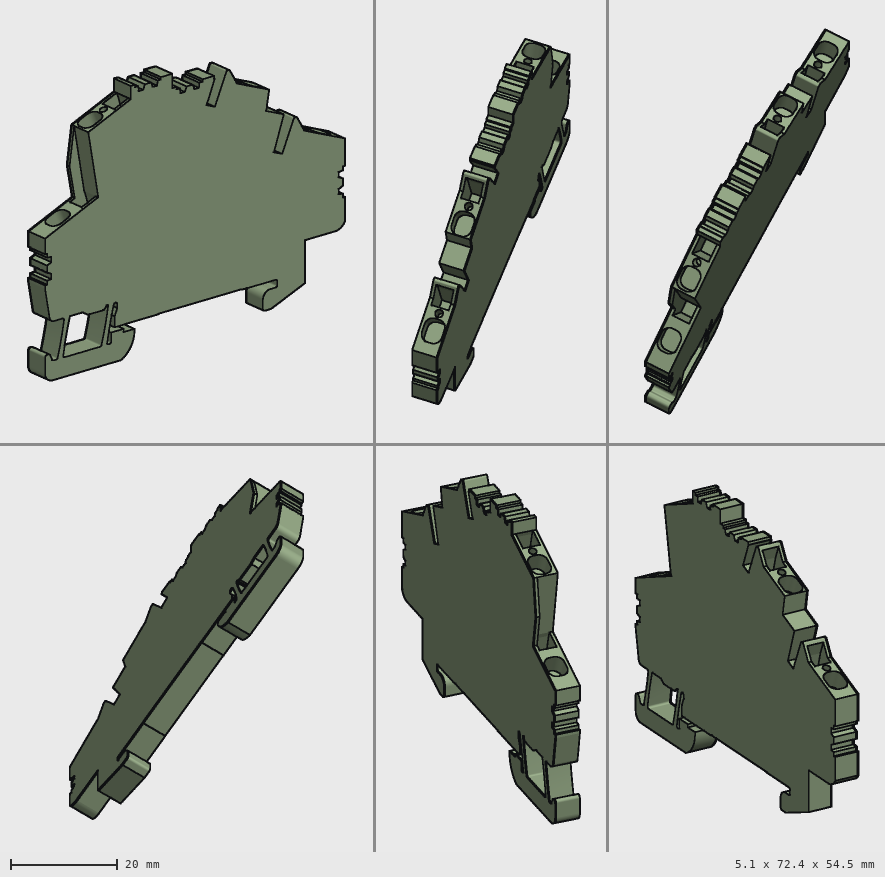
import cadquery as cq
import math


width = 72.35
height = 54.5
thickness = 5.1
cover_thickness = 0.25
half_width = width / 2
past_surface = 1.0

roof_angle = math.radians(22)
along_y = math.cos(roof_angle)
along_z = math.sin(roof_angle)
roof_slope = math.tan(roof_angle)

tab_base = (26.45, 35.2)
upper_tab_base = (10.22, 48.65)
tab_rise = 3.25
tab_reach = 1.9
tab_top = 0.7
tab_tip_radius = 0.33
slot_lean = math.radians(23.5)
slot_length = 7.15
slot_width = 2.15
upper_roof_end_y = 17.9
ledge_inner = (17.15, 41.45)
ledge_outer = (21.4, 39.75)

top_roof_start = (-15.5, 51.87)
top_roof_end_y = -25.75
bulge = (-26.85, 39.9)
lower_roof_start_y = -25.6
recess_foot = (-23.35, 34.1)

lower_land_z = 51.6
lower_land_end_y = -5.45
lower_land_start_y = 4.6
lower_land_corner_z = 51.0

shoulder_z = 13.2
shoulder_start_y = 33.9
shoulder_side_z = 14.65
shoulder_curve = (35.4, 13.75)
hook_y = 26.55
hook_corner_z = 4.6
hook_tip_y = 16.35
hook_bottom_z = 1.4
hook_bottom_start_y = 18.3
hook_top_z = 5.45
rail_slot_y = 19.8
rail_slot_radius = 0.4
hook_top_radius = 1.75
hook_bottom_radius = 0.5
base_z = 7.0
base_end_y = -19.4
base_relief = 0.1
base_relief_start_y = 11.2
base_relief_end_y = -8.8

underside_z = 11.85
bump_z = 11.1
bump_front_y = -21.3
bump_back_y = -27.0
bump_flat_y = (-22.0, -25.9)
spring_slot_side = (-18.75, 10.7)
spring_slot_foot_z = 9.2
chin_y = -34.93
chin_radius = 1.1
chin_top_z = 18.85

foot_front_y = -14.6
foot_lip_z = 5.5
foot_step_y = -17.2
foot_top_z = 6.15
foot_slot_y = -20.25
foot_floor_z = 3.95
foot_bottom_front_y = -17.9
foot_curve = (-16.05, 1.35)
foot_tip_z = 5.5
foot_tip_y = -35.05
foot_notch_y = -34.35
foot_heel_radius = 1.85
foot_tip_radius = 0.54

strut_tops_y = [-19.55, -30.15]
strut_width = 1.38
strut_lean = 1.7
strut_root = 0.2
strut_waist = 0.12
strut_corner_radius = 0.4
spring_slot_radius = 0.35

comb_span = 6.25
comb_ledge = 0.5
groove_depth = 1.5
groove_pitch = 3.05
groove_mouth = 1.6
groove_outer_inset = 0.1
groove_inner_inset = 0.45
groove_chamfer = 0.25
side_comb_z = 22.65
lower_comb_y = -1.3
upper_comb_y = -11.35

hole_x = 2.45
hole_width = 3.95
hole_length = 4.7
hole_corner_radius = 1.6
hole_depth = 4.0
test_hole_diameter = 1.5
test_hole_depth = 4.0
pocket_near_x = 0.9
pocket_far_x = 4.4
pocket_length = 3.7
pocket_depth = 9.0
tab_pocket_rise = 3.5
pocket_straight_depth = 1.0
pocket_taper = math.radians(7)
test_hole_offset = 1.1
wire_hole_offset = 4.55
tab_pocket_offset = 1.3


def extrude(points, start_x, end_x):
    plane = cq.Workplane("YZ").workplane(offset=start_x)
    return plane.polyline(points).close().extrude(end_x - start_x)


def on_roof(start, side, outward, rise=0.0):
    """Point at a distance down the roof from its start, raised square to the roof."""
    y = start[0] + side * (outward * along_y + rise * along_z)
    z = start[1] - outward * along_z + rise * along_y
    return (y, z)


def roof_at(start, side, y):
    return (y, start[1] - side * (y - start[0]) * roof_slope)


def tab_points(base):
    """Tab flank, tip and back, ending at the floor of the slot behind it."""
    tip_y = base[0] - tab_reach
    tip_z = base[1] + tab_rise
    back_y = tip_y - tab_top
    floor_y = back_y - slot_length * math.sin(slot_lean)
    floor_z = tip_z - slot_length * math.cos(slot_lean)
    return [base, (tip_y, tip_z), (back_y, tip_z), (floor_y, floor_z)]


def slot_far_floor(base):
    y, z = tab_points(base)[-1]
    return (y - slot_width * along_y, z + slot_width * along_z)


def slot_far_wall(base, z):
    """Point at height z on the slot wall away from the tab."""
    floor_y, floor_z = slot_far_floor(base)
    return (floor_y + (z - floor_z) * roof_slope, z)


def round_corners(solid, corners, radius):
    """Round the edges along X that pass through the given YZ corners."""
    reach = 0.01
    for y, z in corners:
        box = cq.selectors.BoxSelector(
            (-past_surface, y - reach, z - reach), (thickness + past_surface, y + reach, z + reach)
        )
        solid = solid.edges(box).fillet(radius)
    return solid


outer_roof_end = roof_at(tab_base, 1, half_width)
upper_roof_end = roof_at(upper_tab_base, 1, upper_roof_end_y)
top_roof_end = roof_at(top_roof_start, -1, top_roof_end_y)
lower_roof_start = roof_at(recess_foot, -1, lower_roof_start_y)
lower_roof_end = roof_at(recess_foot, -1, -half_width)


def body_slab(start_x, end_x):
    outline = (
        cq.Workplane("YZ").workplane(offset=start_x)
        .polyline([
            (half_width, shoulder_side_z),
            outer_roof_end,
            *tab_points(tab_base),
            slot_far_floor(tab_base),
            ledge_outer,
            ledge_inner,
            upper_roof_end,
            *tab_points(upper_tab_base),
            slot_far_floor(upper_tab_base),
            slot_far_wall(upper_tab_base, lower_land_corner_z),
            (lower_land_start_y, lower_land_corner_z),
            (lower_land_start_y, lower_land_z),
            (lower_land_end_y, lower_land_z),
            (lower_land_end_y, height),
            (top_roof_start[0], height),
            top_roof_start,
            top_roof_end,
            bulge,
            lower_roof_start,
            lower_roof_end,
            (-half_width, chin_top_z),
            (chin_y, underside_z),
            (bump_back_y, underside_z),
            (bump_flat_y[1], bump_z),
            (bump_flat_y[0], bump_z),
            (bump_front_y, underside_z),
            (spring_slot_side[0], underside_z),
            spring_slot_side,
            (base_end_y, spring_slot_foot_z),
            (base_end_y, base_z),
            (base_relief_end_y, base_z),
            (base_relief_end_y, base_z + base_relief),
            (base_relief_start_y, base_z + base_relief),
            (base_relief_start_y, base_z),
            (rail_slot_y, base_z),
            (rail_slot_y, hook_top_z),
            (hook_tip_y, hook_top_z),
            (hook_tip_y, hook_bottom_z),
            (hook_bottom_start_y, hook_bottom_z),
            (hook_y, hook_corner_z),
            (hook_y, shoulder_z),
            (shoulder_start_y, shoulder_z),
        ])
        .threePointArc(shoulder_curve, (half_width, shoulder_side_z))
        .close()
    )
    return outline.extrude(end_x - start_x)


def foot_slab(start_x, end_x):
    outline = (
        cq.Workplane("YZ").workplane(offset=start_x)
        .polyline([
            (foot_front_y, foot_lip_z),
            (foot_step_y, foot_lip_z),
            (foot_step_y, foot_top_z),
            (foot_slot_y, foot_top_z),
            (foot_slot_y, foot_floor_z),
            (foot_notch_y, foot_floor_z),
            (foot_tip_y, foot_tip_z),
            (-half_width, foot_tip_z),
            (-half_width, 0),
            (foot_bottom_front_y, 0),
        ])
        .threePointArc(foot_curve, (foot_front_y, foot_lip_z))
        .close()
    )
    return outline.extrude(end_x - start_x)


def strut_slab(top_y, start_x, end_x):
    """One leaning strut, sunk into the body above and the foot below."""
    bottom_y = top_y - strut_lean
    root_top_z = underside_z + strut_root
    root_bottom_z = foot_floor_z - strut_root
    waist_y = (top_y + bottom_y) / 2
    waist_z = (underside_z + foot_floor_z) / 2
    outer_waist = (waist_y - strut_width + strut_waist, waist_z)
    inner_waist = (waist_y - strut_waist, waist_z)
    outline = (
        cq.Workplane("YZ").workplane(offset=start_x)
        .moveTo(top_y, root_top_z)
        .lineTo(top_y - strut_width, root_top_z)
        .lineTo(top_y - strut_width, underside_z)
        .threePointArc(outer_waist, (bottom_y - strut_width, foot_floor_z))
        .lineTo(bottom_y - strut_width, root_bottom_z)
        .lineTo(bottom_y, root_bottom_z)
        .lineTo(bottom_y, foot_floor_z)
        .threePointArc(inner_waist, (top_y, underside_z))
        .close()
    )
    return outline.extrude(end_x - start_x)


combs = [
    ((half_width, side_comb_z), (1, 0)),
    ((-half_width, side_comb_z), (-1, 0)),
    ((lower_comb_y, lower_land_z), (0, 1)),
    ((upper_comb_y, height), (0, 1)),
]


def comb_point(comb, along, depth):
    """Point along the comb's face from its centre, at a depth below that face."""
    (y, z), (out_y, out_z) = comb
    return (y + out_z * along - out_y * depth, z + out_y * along - out_z * depth)


def comb_cutter(comb):
    groove = [
        (groove_pitch / 2 - groove_mouth / 2, comb_ledge),
        (groove_pitch / 2 - groove_mouth / 2 + groove_inner_inset, groove_depth),
        (groove_pitch / 2 + groove_mouth / 2 - groove_outer_inset, groove_depth),
        (groove_pitch / 2 + groove_mouth / 2, comb_ledge),
    ]
    ledge_end = [(comb_span / 2, comb_ledge), (comb_span / 2, -past_surface)]
    half_profile = groove + ledge_end
    mirrored = [(-along, depth) for along, depth in reversed(half_profile)]
    profile = mirrored + half_profile
    points = [comb_point(comb, along, depth) for along, depth in profile]
    return extrude(points, -past_surface, thickness + past_surface)


rounded_corners = [
    (tab_points(tab_base)[1:3], tab_tip_radius),
    (tab_points(upper_tab_base)[1:3], tab_tip_radius),
    ([(rail_slot_y, base_z), (rail_slot_y, hook_top_z)], rail_slot_radius),
    ([(hook_tip_y, hook_top_z)], hook_top_radius),
    ([(hook_tip_y, hook_bottom_z)], hook_bottom_radius),
    ([(chin_y, underside_z)], chin_radius),
    ([(-half_width, 0)], foot_heel_radius),
    ([(-half_width, foot_tip_z), (foot_tip_y, foot_tip_z)], foot_tip_radius),
    ([(foot_notch_y, foot_floor_z)], strut_corner_radius),
    ([(strut_tops_y[1] - strut_width, underside_z)], strut_corner_radius),
    ([(y - strut_lean - strut_width, foot_floor_z) for y in strut_tops_y], strut_corner_radius),
    ([(strut_tops_y[1] - strut_lean, foot_floor_z)], strut_corner_radius),
    ([(foot_slot_y, foot_floor_z), (strut_tops_y[0] - strut_lean, foot_floor_z)], spring_slot_radius),
    ([(spring_slot_side[0], underside_z), (strut_tops_y[0], underside_z)], spring_slot_radius),
]


def terminal_slab(start_x, end_x):
    """Full side outline of the terminal block between two X positions."""
    slab = body_slab(start_x, end_x).union(foot_slab(start_x, end_x))
    for top_y in strut_tops_y:
        slab = slab.union(strut_slab(top_y, start_x, end_x))
    for comb in combs:
        slab = slab.cut(comb_cutter(comb))
    for corners, radius in rounded_corners:
        slab = round_corners(slab, corners, radius)
    return slab


def cut_recess(solid):
    """Screwdriver recess: the upper wall slants in, leaving the bulged rib beside the cover."""
    outline = [top_roof_end, recess_foot, lower_roof_start, bulge]
    return solid.cut(extrude(outline, pocket_near_x, thickness + past_surface))


def cut_pocket(solid, start, side, inner_rise):
    """Screwdriver pocket square to the roof; its inner wall tapers below a straight part.

    The inner wall also opens whatever stands on the roof up to inner_rise.
    """
    inset = (pocket_depth - pocket_straight_depth) * math.tan(pocket_taper)
    outline = [
        on_roof(start, side, 0, past_surface),
        on_roof(start, side, 0, -pocket_depth),
        on_roof(start, side, inset - pocket_length, -pocket_depth),
        on_roof(start, side, -pocket_length, -pocket_straight_depth),
        on_roof(start, side, -pocket_length, inner_rise),
    ]
    return solid.cut(extrude(outline, pocket_near_x, pocket_far_x))


def roof_plane(centre, side):
    """Plane on the roof with its x direction along +X and its normal out of the roof."""
    normal = (0, side * along_z, along_y)
    return cq.Plane(origin=(hole_x, *centre), xDir=(1, 0, 0), normal=normal)


def cut_wire_hole(solid, start, side):
    plane = roof_plane(on_roof(start, side, wire_hole_offset), side)
    block = cq.Workplane(plane).rect(hole_width, hole_length).extrude(-hole_depth)
    along_depth = cq.selectors.ParallelDirSelector(plane.zDir)
    return solid.cut(block.edges(along_depth).fillet(hole_corner_radius))


def cut_test_hole(solid, start, side):
    plane = roof_plane(on_roof(start, side, test_hole_offset), side)
    return solid.cut(cq.Workplane(plane).circle(test_hole_diameter / 2).extrude(-test_hole_depth))


tiers = [
    (on_roof(tab_base, 1, tab_pocket_offset), 1, tab_pocket_rise, True),
    (on_roof(upper_tab_base, 1, tab_pocket_offset), 1, tab_pocket_rise, True),
    (on_roof(top_roof_start, -1, pocket_length), -1, 0, True),
    (on_roof(recess_foot, -1, pocket_length), -1, 0, False),
]


def make_cover():
    return terminal_slab(0, cover_thickness)


def make_housing():
    housing = cut_recess(terminal_slab(cover_thickness, thickness))
    for start, side, inner_rise, has_test_hole in tiers:
        housing = cut_pocket(housing, start, side, inner_rise)
        housing = cut_wire_hole(housing, start, side)
        if has_test_hole:
            housing = cut_test_hole(housing, start, side)
    for comb in combs:
        for centre in (-groove_pitch / 2, groove_pitch / 2):
            floor = comb_point(comb, centre, groove_depth)
            edge = cq.selectors.NearestToPointSelector((cover_thickness, *floor))
            housing = housing.edges(edge).chamfer(groove_chamfer)
    return housing


cover = make_cover()
housing = make_housing()
result = cq.Compound.makeCompound([cover.val(), housing.val()])